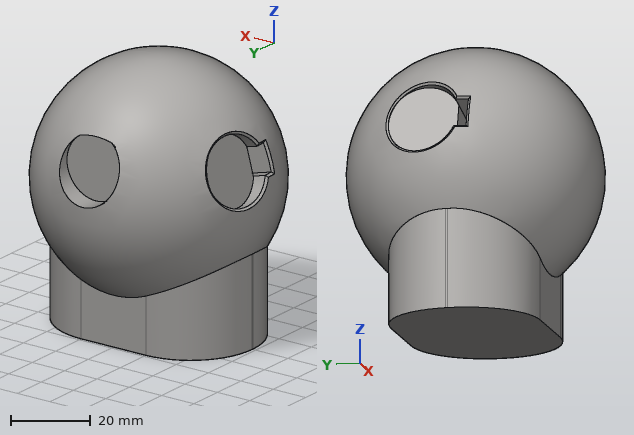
import cadquery as cq
import math

total_height = 72.5
ball_radius = 32.5
ball_center_z = total_height - ball_radius
foot_length = 58.1
foot_width = 38.5
foot_corner_radius = 19.0

side_radius = 9.4
side_floor_center = (-26.6, 6.2, 48.8)
side_lean = 15.0
rim_chamfer = 0.65

key_width = 7.7
key_rise = 0.15
key_reach = 11.75
key_extra_depth = 9.05

back_radius = 9.0
back_axis_z = 50.3
back_floor_y = 26.7


def side_plane():
    """Plane at the keyway bottom, square to the leaning axis; local X is -Y, local Y is upward."""
    lean = math.radians(side_lean)
    outward = cq.Vector(-math.cos(lean), 0, math.sin(lean))
    origin = cq.Vector(*side_floor_center) - outward * key_extra_depth
    return cq.Plane(origin=origin, xDir=(0, -1, 0), normal=outward)


def make_ball_on_foot():
    foot = (
        cq.Workplane("XY")
        .rect(foot_length, foot_width)
        .extrude(ball_center_z)
        .edges("|Z")
        .fillet(foot_corner_radius)
    )
    ball = cq.Workplane("XY", origin=(0, 0, ball_center_z)).sphere(ball_radius)
    return ball.union(foot)


def make_keyway(length):
    """Rectangular bar that starts where its corner meets the bore and runs to its full reach."""
    start = math.sqrt(side_radius**2 - (key_width / 2 + key_rise) ** 2)
    return (
        cq.Workplane(side_plane())
        .center((start + key_reach) / 2, key_rise)
        .rect(key_reach - start, key_width)
        .extrude(length)
    )


def make_side_bore(length):
    return cq.Workplane(side_plane()).circle(side_radius).extrude(length)


def make_side_floor():
    """Plug that fills the bore up to its floor and leaves the keyway open."""
    return make_side_bore(key_extra_depth).cut(make_keyway(key_extra_depth))


def make_back_socket():
    return (
        cq.Workplane("XZ", origin=(0, back_floor_y, back_axis_z))
        .circle(back_radius)
        .extrude(-ball_radius)
    )


def lies_on_ball(edge):
    center = cq.Vector(0, 0, ball_center_z)
    tolerance = 0.01
    samples = [edge.positionAt(step) for step in (0.2, 0.5, 0.8)]
    return all(abs((point - center).Length - ball_radius) < tolerance for point in samples)


def chamfer_side_rim(part):
    """Bevel the mouth of the side socket, whose edges are all close to the floor center."""
    reach = 2 * side_radius
    floor_center = cq.Vector(*side_floor_center)
    rim = [
        edge
        for edge in part.edges().vals()
        if lies_on_ball(edge) and (edge.Center() - floor_center).Length < reach
    ]
    return part.newObject(rim).chamfer(rim_chamfer)


side_cutter = make_side_bore(ball_radius).union(make_keyway(ball_radius))
body = chamfer_side_rim(make_ball_on_foot().cut(side_cutter))
body = body.union(make_side_floor())
result = body.cut(make_back_socket())